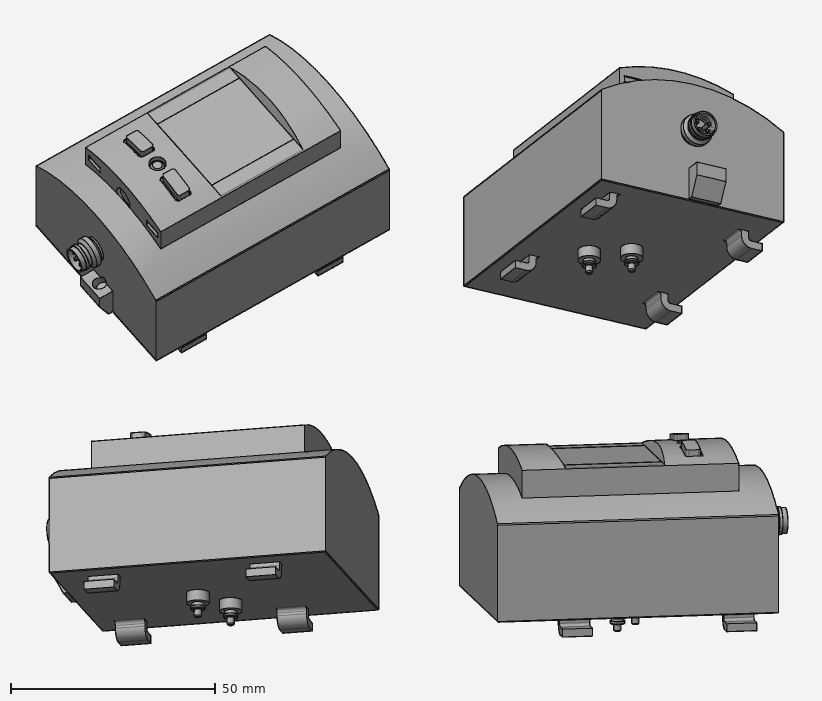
import cadquery as cq
import math

OVERLAP = 0.4

HOUSING_WIDTH = 51.0
HOUSING_LENGTH = 70.0
HOUSING_SIDE_HEIGHT = 24.4
HOUSING_CROWN_HEIGHT = 31.7
HOUSING_CHAMFER = 0.2
HOUSING_FRONT = -HOUSING_LENGTH / 2

PANEL_WIDTH = 31.8
PANEL_FRONT = -26.85
PANEL_BACK = 27.1
PANEL_SIDE_HEIGHT = 35.9
PANEL_CROWN_HEIGHT = 38.6

DISPLAY_FLOOR = 36.0
DISPLAY_FLOOR_FRONT = -8.5
DISPLAY_FLOOR_BACK = 16.15
DISPLAY_WALL_RUN = 1.1
WINDOW_WIDTH = 23.0
WINDOW_RISE = 0.1

BUTTON_ROW_Y = -16.6
BUTTON_OFFSET = 7.7
BUTTON_LENGTH = 7.0
BUTTON_WIDTH = 3.6
BUTTON_SETBACK = 0.15
BUTTON_RISE = 1.45
BUTTON_CORNER = 0.6
BUTTON_POCKET_LENGTH = 7.65
BUTTON_POCKET_WIDTH = 4.4
BUTTON_POCKET_DEPTH = 0.5
INDICATOR_HOLE_DIAMETER = 4.2
INDICATOR_HOLE_DEPTH = 1.45
INDICATOR_BASE_DIAMETER = 3.6
INDICATOR_TOP_DIAMETER = 2.4
INDICATOR_HEIGHT = 0.9

SLOT_OFFSET = 12.25
SLOT_WIDTH = 4.75
SLOT_TOP = 34.05
SLOT_BOTTOM = 32.2
SLOT_FLOOR_RISE = 0.5
SLOT_DEPTH = 0.5
DIMPLE_HEIGHT = 32.5
DIMPLE_MOUTH_DIAMETER = 5.6
DIMPLE_FLOOR_DIAMETER = 5.3
DIMPLE_DEPTH = 1.0

PLUG_HEIGHT = 18.35
PLUG_REACH = 6.5
PLUG_BASE_DIAMETER = 6.4
PLUG_COLLAR_DIAMETER = 8.0
PLUG_NECK_DIAMETER = 6.1
PLUG_RIDGE_DIAMETER = 6.9
PLUG_BASE_END = 0.5
PLUG_COLLAR_START = 1.3
PLUG_COLLAR_END = 2.6
PLUG_NECK_START = 3.4
PLUG_RIDGE_START = 4.4
PLUG_RIDGE_END = 5.2
PLUG_SOCKET_DIAMETER = 5.6
PLUG_SOCKET_DEPTH = 3.8
CONTACT_DIAMETER = 1.0
CONTACT_TIP_DIAMETER = 0.75
CONTACT_LENGTH = 2.75
CONTACT_TIP_LENGTH = 0.2
CONTACT_PLACES = [(1.7, 0.6), (1.1, -1.4)]

LUG_CENTRE_X = 3.05
LUG_WIDTH = 8.1
LUG_REACH = 4.0
LUG_FOOT_REACH = 1.3
LUG_TOP = 8.7
LUG_SLOPE_TOP = 5.3
LUG_BOTTOM = 0.4
LUG_HOLE_X = 3.3
LUG_HOLE_DIAMETER = 3.4
LUG_HOLE_OFFSET = 1.3
LUG_HOLE_DEPTH = 3.05
LUG_HOLE_TILT = 20.0
LUG_HOLE_CLEARANCE = 2.3

FOOT_SHEET = 2.0
FOOT_TIP_X = 24.2
FOOT_LEG_X = 20.35
FOOT_BOTTOM = -4.4
FOOT_INNER_RADIUS = 0.8
FOOT_ROOT_RADIUS = 1.0
FOOT_LENGTH = 7.5
LEFT_FOOT_STARTS = [-29.8, 11.1]
FOOT_STAGGER = 3.4

PIN_PLACES = [(-8.6, 2.0), (0, -4.05)]
PIN_HEAD_DIAMETER = 5.6
PIN_HEAD_END = -2.7
PIN_NECK_DIAMETER = 3.0
PIN_FLANGE_START = -3.6
PIN_FLANGE_END = -4.35
PIN_FLANGE_DIAMETER = 3.6
PIN_FLANGE_CHAMFER = 0.2
PIN_TIP_DIAMETER = 1.8
PIN_TIP_CHAMFER = 0.3
PIN_END = -6.2


def box_between(x0, x1, y0, y1, z0, z1):
    """Box spanning the given limits."""
    return cq.Workplane("XY").box(x1 - x0, y1 - y0, z1 - z0, centered=False).translate((x0, y0, z0))


def extrude_along_y(sketch, y0, y1):
    """Extrude an XZ outline from y0 to the larger y1."""
    return sketch.extrude(-(y1 - y0)).translate((0, y0, 0))


def crowned_block(width, y0, y1, base, side_height, crown_height):
    """Block whose top is an arc rising from both sides to a crown at X = 0."""
    half = width / 2
    outline = (
        cq.Workplane("XZ")
        .moveTo(-half, base)
        .lineTo(-half, side_height)
        .threePointArc((0, crown_height), (half, side_height))
        .lineTo(half, base)
        .close()
    )
    return extrude_along_y(outline, y0, y1)


def panel_crown(lift):
    """Solid below the panel's crown surface moved up by the given lift."""
    return crowned_block(
        PANEL_WIDTH, PANEL_FRONT, PANEL_BACK, HOUSING_SIDE_HEIGHT,
        PANEL_SIDE_HEIGHT + lift, PANEL_CROWN_HEIGHT + lift,
    )


def display_recess():
    """Cutter with a flat floor and end walls that lean outwards up to the crown height."""
    outline = [
        (DISPLAY_FLOOR_FRONT, DISPLAY_FLOOR),
        (DISPLAY_FLOOR_BACK, DISPLAY_FLOOR),
        (DISPLAY_FLOOR_BACK + DISPLAY_WALL_RUN, PANEL_CROWN_HEIGHT),
        (DISPLAY_FLOOR_FRONT - DISPLAY_WALL_RUN, PANEL_CROWN_HEIGHT),
    ]
    return cq.Workplane("YZ").polyline(outline).close().extrude(PANEL_WIDTH / 2, both=True)


def display_window():
    """Pane standing slightly proud of the recess floor."""
    half = WINDOW_WIDTH / 2
    return box_between(
        -half, half, DISPLAY_FLOOR_FRONT, DISPLAY_FLOOR_BACK,
        DISPLAY_FLOOR - OVERLAP, DISPLAY_FLOOR + WINDOW_RISE,
    )


def button_column(x, y, length, width):
    """Rounded column that passes through the top of the panel."""
    height = PANEL_CROWN_HEIGHT + BUTTON_RISE - HOUSING_CROWN_HEIGHT
    column = cq.Workplane("XY").box(length, width, height, centered=(True, True, False))
    return column.edges("|Z").fillet(BUTTON_CORNER).translate((x, y, HOUSING_CROWN_HEIGHT))


def add_buttons(body):
    """Sink a pocket for each button and raise the button out of it."""
    below_pocket = panel_crown(-BUTTON_POCKET_DEPTH)
    below_button_top = panel_crown(BUTTON_RISE)
    for side in (-1, 1):
        x = side * BUTTON_OFFSET
        pocket = button_column(x, BUTTON_ROW_Y, BUTTON_POCKET_LENGTH, BUTTON_POCKET_WIDTH).cut(below_pocket)
        button = button_column(x, BUTTON_ROW_Y + BUTTON_SETBACK, BUTTON_LENGTH, BUTTON_WIDTH)
        body = body.cut(pocket).union(button.intersect(below_button_top))
    return body


def add_indicator(body):
    """Sink a round hole and stand a tapered lens on its floor."""
    floor = PANEL_CROWN_HEIGHT - INDICATOR_HOLE_DEPTH
    at_floor = cq.Workplane("XY", origin=(0, BUTTON_ROW_Y, floor))
    hole = at_floor.circle(INDICATOR_HOLE_DIAMETER / 2).extrude(INDICATOR_HOLE_DEPTH)
    lens = cq.Solid.makeCone(
        INDICATOR_BASE_DIAMETER / 2, INDICATOR_TOP_DIAMETER / 2, INDICATOR_HEIGHT,
        pnt=cq.Vector(0, BUTTON_ROW_Y, floor),
    )
    return body.cut(hole).union(cq.Workplane(lens))


def slot(side):
    """Front wall slot whose floor climbs towards the back."""
    back = PANEL_FRONT + SLOT_DEPTH
    outline = [
        (PANEL_FRONT, SLOT_BOTTOM),
        (back, SLOT_BOTTOM + SLOT_FLOOR_RISE),
        (back, SLOT_TOP),
        (PANEL_FRONT, SLOT_TOP),
    ]
    cutter = cq.Workplane("YZ").polyline(outline).close().extrude(SLOT_WIDTH / 2, both=True)
    return cutter.translate((side * SLOT_OFFSET, 0, 0))


def dimple():
    """Tapered round recess in the panel's front wall, dipping into the housing roof."""
    cutter = cq.Solid.makeCone(
        DIMPLE_MOUTH_DIAMETER / 2, DIMPLE_FLOOR_DIAMETER / 2, DIMPLE_DEPTH,
        pnt=cq.Vector(0, PANEL_FRONT, DIMPLE_HEIGHT), dir=cq.Vector(0, 1, 0),
    )
    return cq.Workplane(cutter)


def plug():
    """Turned plug body, socket and contacts, reaching forward from the front wall."""
    base = PLUG_BASE_DIAMETER / 2
    collar = PLUG_COLLAR_DIAMETER / 2
    neck = PLUG_NECK_DIAMETER / 2
    ridge = PLUG_RIDGE_DIAMETER / 2
    profile = [
        (0, -OVERLAP), (base, -OVERLAP), (base, PLUG_BASE_END),
        (collar, PLUG_COLLAR_START), (collar, PLUG_COLLAR_END), (base, PLUG_NECK_START),
        (neck, PLUG_NECK_START), (neck, PLUG_RIDGE_START), (ridge, PLUG_RIDGE_START),
        (ridge, PLUG_RIDGE_END), (base, PLUG_RIDGE_END), (base, PLUG_REACH), (0, PLUG_REACH),
    ]
    body = cq.Workplane("XY").polyline(profile).close().revolve(360, (0, 0), (0, 1))
    socket_floor = PLUG_REACH - PLUG_SOCKET_DEPTH
    socket = cq.Workplane("XZ", origin=(0, socket_floor, 0)).circle(PLUG_SOCKET_DIAMETER / 2)
    body = body.cut(socket.extrude(-PLUG_SOCKET_DEPTH))
    body = body.rotate((0, 0, 0), (0, 0, 1), 180).translate((0, HOUSING_FRONT, PLUG_HEIGHT))
    floor_y = HOUSING_FRONT - socket_floor
    for distance, height in CONTACT_PLACES:
        for side in (-1, 1):
            body = body.union(contact(side * distance, floor_y, PLUG_HEIGHT + height))
    return body


def contact(x, floor_y, z):
    """Contact pin with a tapered tip, standing on the socket floor."""
    radius = CONTACT_DIAMETER / 2
    root = cq.Workplane("XZ", origin=(x, floor_y + OVERLAP, z))
    shank = root.circle(radius).extrude(CONTACT_LENGTH + OVERLAP)
    tip = cq.Solid.makeCone(
        radius, CONTACT_TIP_DIAMETER / 2, CONTACT_TIP_LENGTH,
        pnt=cq.Vector(x, floor_y - CONTACT_LENGTH, z), dir=cq.Vector(0, -1, 0),
    )
    return shank.union(cq.Workplane(tip))


def lug():
    """Block on the front wall whose lower front slopes back towards its foot."""
    outline = [
        (HOUSING_FRONT + OVERLAP, LUG_BOTTOM),
        (HOUSING_FRONT + OVERLAP, LUG_TOP),
        (HOUSING_FRONT - LUG_REACH, LUG_TOP),
        (HOUSING_FRONT - LUG_REACH, LUG_SLOPE_TOP),
        (HOUSING_FRONT - LUG_FOOT_REACH, LUG_BOTTOM),
    ]
    block = cq.Workplane("YZ").polyline(outline).close().extrude(LUG_WIDTH / 2, both=True)
    return block.translate((LUG_CENTRE_X, 0, 0))


def lug_hole():
    """Slanted blind hole that enters the lug top and nicks the front wall."""
    tilt = math.radians(LUG_HOLE_TILT)
    down = cq.Vector(0, math.sin(tilt), -math.cos(tilt))
    mouth = cq.Vector(LUG_HOLE_X, HOUSING_FRONT - LUG_HOLE_OFFSET, LUG_TOP)
    start = mouth - down * LUG_HOLE_CLEARANCE
    cutter = cq.Solid.makeCylinder(
        LUG_HOLE_DIAMETER / 2, LUG_HOLE_CLEARANCE + LUG_HOLE_DEPTH, pnt=start, dir=down,
    )
    return cq.Workplane(cutter)


def foot(side, y0):
    """Sheet foot: rooted in the housing, bent down into a leg and out into a flat arm."""
    leg_inside = FOOT_LEG_X - FOOT_SHEET
    root_x = leg_inside - FOOT_ROOT_RADIUS
    arm_top = FOOT_BOTTOM + FOOT_SHEET
    bend_radius = FOOT_INNER_RADIUS + FOOT_SHEET
    outline = (
        cq.Workplane("XZ")
        .moveTo(root_x, FOOT_SHEET)
        .radiusArc((FOOT_LEG_X, -FOOT_ROOT_RADIUS), FOOT_ROOT_RADIUS + FOOT_SHEET)
        .lineTo(FOOT_LEG_X, arm_top + FOOT_INNER_RADIUS)
        .radiusArc((FOOT_LEG_X + FOOT_INNER_RADIUS, arm_top), -FOOT_INNER_RADIUS)
        .lineTo(FOOT_TIP_X, arm_top)
        .lineTo(FOOT_TIP_X, FOOT_BOTTOM)
        .lineTo(leg_inside + bend_radius, FOOT_BOTTOM)
        .radiusArc((leg_inside, FOOT_BOTTOM + bend_radius), bend_radius)
        .lineTo(leg_inside, -FOOT_ROOT_RADIUS)
        .radiusArc((root_x, 0), -FOOT_ROOT_RADIUS)
        .close()
    )
    body = extrude_along_y(outline, y0, y0 + FOOT_LENGTH)
    return body if side > 0 else body.mirror("YZ")


def pin(x, y):
    """Turned pin with a wide head, a neck, a flange and a thin tip, pointing down."""
    head = PIN_HEAD_DIAMETER / 2
    neck = PIN_NECK_DIAMETER / 2
    flange = PIN_FLANGE_DIAMETER / 2
    tip = PIN_TIP_DIAMETER / 2
    profile = [
        (0, OVERLAP), (head, OVERLAP), (head, PIN_HEAD_END), (neck, PIN_HEAD_END), (neck, PIN_FLANGE_START),
        (flange, PIN_FLANGE_START), (flange, PIN_FLANGE_END + PIN_FLANGE_CHAMFER),
        (flange - PIN_FLANGE_CHAMFER, PIN_FLANGE_END), (tip, PIN_FLANGE_END),
        (tip, PIN_END + PIN_TIP_CHAMFER), (tip - PIN_TIP_CHAMFER, PIN_END), (0, PIN_END),
    ]
    return cq.Workplane("XZ").polyline(profile).close().revolve(360, (0, 0), (0, 1)).translate((x, y, 0))


housing = crowned_block(
    HOUSING_WIDTH, HOUSING_FRONT, -HOUSING_FRONT, 0, HOUSING_SIDE_HEIGHT, HOUSING_CROWN_HEIGHT,
)
housing = housing.faces("<Z").edges().chamfer(HOUSING_CHAMFER)
housing = housing.faces("<X or >X").edges(">Z").chamfer(HOUSING_CHAMFER)
result = housing.union(panel_crown(0))

result = result.cut(display_recess()).union(display_window())
result = add_buttons(result)
result = add_indicator(result)
result = result.cut(dimple())
for side in (-1, 1):
    result = result.cut(slot(side))

result = result.union(plug())
result = result.union(lug()).cut(lug_hole())

for start in LEFT_FOOT_STARTS:
    result = result.union(foot(-1, start))
    result = result.union(foot(1, start + FOOT_STAGGER))
for x, y in PIN_PLACES:
    result = result.union(pin(x, y))